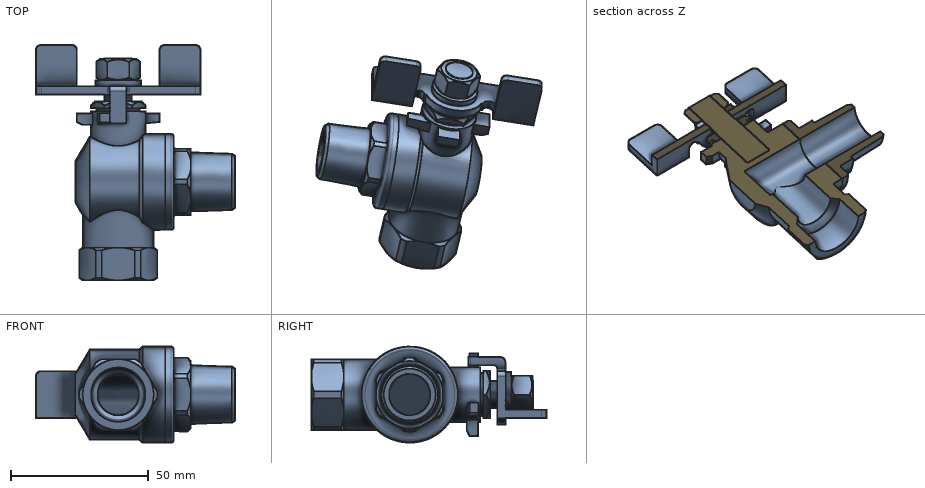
import cadquery as cq
import math


bore_d = 15.0
stem_d = 10.0
neck_d = 20.0
inlet_pipe_d = 25.8

back_face_x = -15.6
back_face_d = 15.0
back_cone_end_x = -10.3
shell_d = 32.95
shell_end_x = 7.7
rim_d = 35.0
rim_start_x = 8.9
joint_x = 17.1

inlet_end_y = -35.8
inlet_hex_length = 11.9
inlet_hex_flats = inlet_pipe_d
inlet_hex_corner_d = 28.4
inlet_hex_chamfer_height = 0.9
inlet_hex_chamfer_width = (inlet_hex_corner_d - inlet_pipe_d) / 2
socket_d = 19.8
socket_depth = 10.95
socket_cone_length = 2.4
cavity_back_x = -8.6
neck_top_y = 25.7
stem_bottom_y = 10.3

lug_reach = 15.1
lug_top_y = 24.9
lug_bottom_y = 20.7
plain_lug_width = 8.05
lug_chamfer_out = 2.05
lug_chamfer_up = 1.0
stop_root = 5.1
stop_root_bottom_y = 20.8
stop_tip_bottom_y = 21.7
stop_root_side = 7.6
stop_tip_side = 6.7

flange_end_x = 20.3
flange_fillet = 1.2
hex_root_fillet = 0.5
connector_hex_end_x = 26.4
connector_hex_flats = 24.1
connector_hex_corner_d = 26.9
connector_hex_chamfer = 1.2
tail_end_x = 42.55
tail_root_d = 21.6
tail_tip_d = 20.55
tail_chamfer_length = 1.2
tail_chamfer_width = 0.85

gland_collar_d = 15.8
gland_collar_height = 1.1
gland_hex_height = 2.5
gland_hex_flats = 17.4
gland_hex_corner_d = 20.0
gland_chamfer = 1.5

plate_bottom_y = 31.8
plate_thickness = 3.1
plate_half_length = 30.0
plate_half_height = 8.6
handle_corner_r = 2.0
wing_width = 15.0
wing_tip_y = 49.8
hub_r = 11.0
relief_r = 2.0
relief_centre_z = -4.0
arm_width = 6.0
arm_top_z = 13.7
arm_tip_y = 21.2
arm_inner_bend_r = 1.0
arm_tip_r = 0.8
arm_root_fillet = 1.0

washer_d = 16.6
washer_thickness = 2.05
washer_gap = 0.3
nut_height = 7.8
nut_flats = 13.9
nut_corner_d = 16.0
nut_chamfer_height = 1.0
nut_chamfer_width = 1.4
stem_top_y = 44.9

plate_top_y = plate_bottom_y + plate_thickness
washer_top_y = plate_top_y + washer_thickness


def turned_about_x(points):
    """Solid of revolution about X from (x, radius) points."""
    return cq.Workplane("XY").polyline(points).close().revolve(360, (0, 0, 0), (1, 0, 0))


def turned_about_y(points):
    """Solid of revolution about Y from (radius, y) points."""
    return cq.Workplane("XY").polyline(points).close().revolve(360, (0, 0, 0), (0, 1, 0))


def cylinder_x(diameter, start_x, end_x):
    return cq.Workplane("YZ").workplane(offset=start_x).circle(diameter / 2).extrude(end_x - start_x)


def cylinder_y(diameter, bottom_y, top_y):
    return cq.Workplane("XZ").workplane(offset=-top_y).circle(diameter / 2).extrude(top_y - bottom_y)


def block(x_range, y_range, z_range):
    """Box between the given limits along each axis."""
    size = [high - low for low, high in (x_range, y_range, z_range)]
    corner = cq.Vector(x_range[0], y_range[0], z_range[0])
    return cq.Workplane(obj=cq.Solid.makeBox(*size, corner))


def hex_y(flats, bottom_y, top_y):
    """Hexagonal prism along Y with its flats facing +Z and -Z."""
    corner_d = flats / math.cos(math.pi / 6)
    return cq.Workplane("XZ").workplane(offset=-top_y).polygon(6, corner_d).extrude(top_y - bottom_y)


def double_chamfered_hex(flats, corner_d, bottom_y, top_y, chamfer_height, chamfer_width):
    """Hexagonal prism along Y with its corners turned to a cylinder and both ends coned."""
    corner_r = corner_d / 2
    end_r = corner_r - chamfer_width
    envelope = turned_about_y([
        (0, bottom_y),
        (end_r, bottom_y),
        (corner_r, bottom_y + chamfer_height),
        (corner_r, top_y - chamfer_height),
        (end_r, top_y),
        (0, top_y),
    ])
    return hex_y(flats, bottom_y, top_y).intersect(envelope)


def plain_lug():
    """Lug on the -X side of the neck, with its outer lower edge chamfered."""
    return (
        cq.Workplane("XY")
        .workplane(offset=-plain_lug_width / 2)
        .polyline([
            (0, lug_top_y),
            (-lug_reach, lug_top_y),
            (-lug_reach, lug_bottom_y + lug_chamfer_up),
            (-lug_reach + lug_chamfer_out, lug_bottom_y),
            (0, lug_bottom_y),
        ])
        .close()
        .extrude(plain_lug_width)
    )


def stop_lug():
    """Tapered lug on the +Z side of the neck, flush against the -X side of the handle arm."""
    inner_x = -arm_width / 2

    def section(outer_x, bottom_y, z):
        corners = [(outer_x, bottom_y), (inner_x, bottom_y), (inner_x, lug_top_y), (outer_x, lug_top_y)]
        return cq.Wire.makePolygon([cq.Vector(x, y, z) for x, y in corners], close=True)

    root = section(-stop_root_side, stop_root_bottom_y, stop_root)
    tip = section(-stop_tip_side, stop_tip_bottom_y, lug_reach)
    return cq.Workplane(obj=cq.Solid.makeLoft([root, tip], True))


def make_body():
    shell = turned_about_x([
        (back_face_x, 0),
        (back_face_x, back_face_d / 2),
        (back_cone_end_x, shell_d / 2),
        (shell_end_x, shell_d / 2),
        (rim_start_x, rim_d / 2),
        (joint_x, rim_d / 2),
        (joint_x, 0),
    ])

    neck = cylinder_y(neck_d, 0, neck_top_y)
    inlet = cylinder_y(inlet_pipe_d, inlet_end_y + inlet_hex_length, 0)
    inlet_hex = double_chamfered_hex(
        inlet_hex_flats,
        inlet_hex_corner_d,
        inlet_end_y,
        inlet_end_y + inlet_hex_length,
        inlet_hex_chamfer_height,
        inlet_hex_chamfer_width,
    )
    body = shell.union(neck).union(inlet).union(inlet_hex)

    body = body.union(plain_lug())
    body = body.union(plain_lug().rotate((0, 0, 0), (0, 1, 0), -90))
    first_stop = stop_lug()
    second_stop = first_stop.mirror("XY").rotate((0, 0, 0), (0, 1, 0), -90)
    body = body.union(first_stop).union(second_stop)

    socket_end_y = inlet_end_y + socket_depth
    inlet_passage = turned_about_y([
        (0, inlet_end_y),
        (socket_d / 2, inlet_end_y),
        (socket_d / 2, socket_end_y),
        (bore_d / 2, socket_end_y + socket_cone_length),
        (bore_d / 2, 0),
        (0, 0),
    ])
    outlet_cavity = cylinder_x(bore_d, cavity_back_x, joint_x)
    stem_socket = cylinder_y(stem_d, stem_bottom_y, neck_top_y)
    return body.cut(inlet_passage).cut(outlet_cavity).cut(stem_socket)


def make_connector():
    """Flange flush with the body rim, carrying the hexagon and the tapered tail."""
    flange = cylinder_x(rim_d, joint_x, flange_end_x).faces(">X").edges().fillet(flange_fillet)

    corner_r = connector_hex_corner_d / 2
    envelope = turned_about_x([
        (joint_x, 0),
        (joint_x, corner_r),
        (connector_hex_end_x - connector_hex_chamfer, corner_r),
        (connector_hex_end_x, corner_r - connector_hex_chamfer),
        (connector_hex_end_x, 0),
    ])
    hexagon = (
        cq.Workplane("YZ")
        .workplane(offset=joint_x)
        .transformed(rotate=(0, 0, 30))
        .polygon(6, connector_hex_flats / math.cos(math.pi / 6))
        .extrude(connector_hex_end_x - joint_x)
        .intersect(envelope)
    )
    connector = flange.union(hexagon)

    root_edges = cq.selectors.BoxSelector(
        (flange_end_x - hex_root_fillet, -corner_r, -corner_r),
        (flange_end_x + hex_root_fillet, corner_r, corner_r),
    )
    connector = connector.edges(root_edges).edges("#X").fillet(hex_root_fillet)

    tail = turned_about_x([
        (joint_x, 0),
        (joint_x, tail_root_d / 2),
        (connector_hex_end_x, tail_root_d / 2),
        (tail_end_x - tail_chamfer_length, tail_tip_d / 2),
        (tail_end_x, tail_tip_d / 2 - tail_chamfer_width),
        (tail_end_x, 0),
    ])
    return connector.union(tail).cut(cylinder_x(bore_d, joint_x, tail_end_x))


def make_gland_nut():
    hex_bottom_y = neck_top_y + gland_collar_height
    hex_top_y = hex_bottom_y + gland_hex_height
    corner_r = gland_hex_corner_d / 2
    envelope = turned_about_y([
        (0, hex_bottom_y),
        (corner_r, hex_bottom_y),
        (corner_r, hex_top_y - gland_chamfer),
        (corner_r - gland_chamfer, hex_top_y),
        (0, hex_top_y),
    ])
    hexagon = hex_y(gland_hex_flats, hex_bottom_y, hex_top_y).intersect(envelope)
    collar = cylinder_y(gland_collar_d, neck_top_y, hex_bottom_y)
    return hexagon.union(collar).cut(cylinder_y(stem_d, neck_top_y, hex_top_y))


def make_stem():
    return cylinder_y(stem_d, stem_bottom_y, stem_top_y)


def make_handle():
    """Flat plate with two bent wings, a round hub and a bent arm that meets the stops."""
    plate_y = (plate_bottom_y, plate_top_y)
    wing_inner_x = plate_half_length - wing_width

    plate = block((-plate_half_length, plate_half_length), plate_y, (-plate_half_height, plate_half_height))
    plate = plate.edges("|Y and >Z").fillet(handle_corner_r)

    plate = plate.cut(block((-wing_inner_x, wing_inner_x), plate_y, (-plate_half_height, relief_centre_z)))
    for side in (-1, 1):
        relief_x = side * (wing_inner_x - relief_r)
        relief = cylinder_y(2 * relief_r, *plate_y).translate((relief_x, 0, relief_centre_z))
        plate = plate.cut(relief)
    hub = cylinder_y(2 * hub_r, *plate_y)
    hub = hub.intersect(block((-hub_r, hub_r), plate_y, (-hub_r, plate_half_height)))
    handle = plate.union(hub)

    outer_bend_r = handle_corner_r
    arm = (
        block((-arm_width / 2, arm_width / 2), (arm_tip_y, plate_top_y), (0, arm_top_z))
        .edges("|X and >Y and >Z")
        .fillet(outer_bend_r)
        .edges("|Z and <Y")
        .fillet(arm_tip_r)
    )
    under_arm = (
        block((-arm_width, arm_width), (arm_tip_y, plate_bottom_y), (0, arm_top_z - plate_thickness))
        .edges("|X and >Y and >Z")
        .fillet(arm_inner_bend_r)
    )
    handle = handle.union(arm.cut(under_arm))
    root_corners = cq.selectors.BoxSelector(
        (-arm_width, plate_bottom_y, plate_half_height - arm_root_fillet),
        (arm_width, plate_top_y, plate_half_height + arm_root_fillet),
    )
    handle = handle.edges("|Y").edges(root_corners).fillet(arm_root_fillet)

    for side in (-1, 1):
        x_range = sorted((side * wing_inner_x, side * plate_half_length))
        z_range = (-plate_half_height, -plate_half_height + plate_thickness)
        wing = block(x_range, (plate_bottom_y, wing_tip_y), z_range)
        wing = wing.edges("|Z and >Y").fillet(handle_corner_r)
        handle = handle.union(wing)

    return handle.cut(cylinder_y(stem_d, *plate_y))


def make_washer():
    """Spring washer, split on the -X side."""
    ring = cylinder_y(washer_d, plate_top_y, washer_top_y).cut(cylinder_y(stem_d, plate_top_y, washer_top_y))
    split = block((-washer_d, 0), (plate_top_y, washer_top_y), (-washer_gap / 2, washer_gap / 2))
    return ring.cut(split)


def make_nut():
    top_y = washer_top_y + nut_height
    nut = double_chamfered_hex(
        nut_flats, nut_corner_d, washer_top_y, top_y, nut_chamfer_height, nut_chamfer_width
    )
    return nut.cut(cylinder_y(stem_d, washer_top_y, top_y))


body = make_body()
connector = make_connector()
gland_nut = make_gland_nut()
stem = make_stem()
handle = make_handle()
washer = make_washer()
nut = make_nut()

result = cq.Compound.makeCompound([
    body.val(),
    connector.val(),
    gland_nut.val(),
    stem.val(),
    handle.val(),
    washer.val(),
    nut.val(),
])